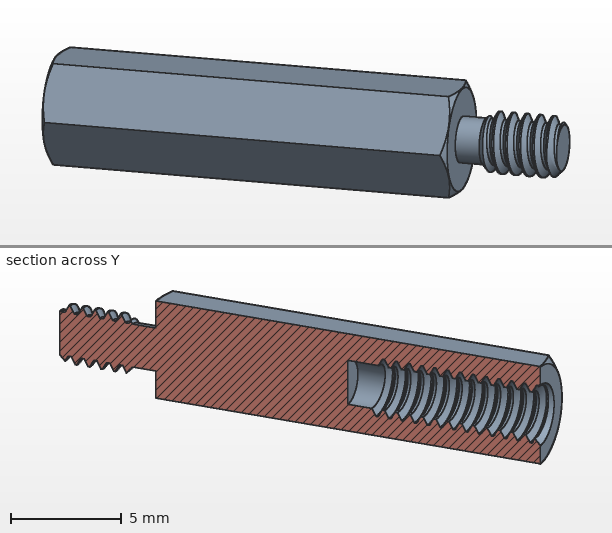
import cadquery as cq
import math

total_length = 23.8
body_length = 19.05
across_flats = 4.76
across_corners = across_flats / math.cos(math.radians(30))

end_face_radius = 2.35
corner_chamfer_angle = 30.0

thread_diameter = 2.83
pitches_per_stud = 7.5
pitch = (total_length - body_length) / pitches_per_stud
crest_width = pitch / 8
thread_depth = 0.35
flank_slope = math.tan(math.radians(30))
thread_overlap = 0.05

outer_radius = thread_diameter / 2
root_radius = outer_radius - thread_depth
neck_length = 1.12
first_crest_x = 19.98

hole_depth = 9.52
tapped_depth = 8.33
mouth_radius = 1.48
mouth_depth = mouth_radius - root_radius


def revolved(profile):
    """Solid of revolution about X from (x, radius) points."""
    return cq.Workplane("XY").polyline(profile).close().revolve(360, (0, 0, 0), (1, 0, 0))


def helix_on_cylinder(start_x, radius, length):
    """Right-handed helix along +X that starts on the +Y side."""
    helix = cq.Wire.makeHelix(pitch, length, radius)
    helix = helix.rotate(cq.Vector(0, 0, 0), cq.Vector(0, 1, 0), 90)
    helix = helix.rotate(cq.Vector(0, 0, 0), cq.Vector(1, 0, 0), 90)
    return helix.translate(cq.Vector(start_x, 0, 0))


def helical_thread(start_x, length):
    """Trapezoidal ridge bounded by ruled faces between four helices."""
    inner_radius = root_radius - thread_overlap
    crest_half = crest_width / 2
    base_half = crest_half + (outer_radius - inner_radius) * flank_slope
    corners = [
        (-base_half, inner_radius),
        (-crest_half, outer_radius),
        (crest_half, outer_radius),
        (base_half, inner_radius),
    ]
    helices = [helix_on_cylinder(start_x + offset, radius, length) for offset, radius in corners]
    faces = []
    for index, helix in enumerate(helices):
        faces.extend(cq.Face.makeRuledSurface(helices[index - 1], helix).Faces())
    for position in (0, 1):
        points = [helix.positionAt(position) for helix in helices]
        faces.append(cq.Face.makeFromWires(cq.Wire.makePolygon(points, close=True)))
    return cq.Workplane(cq.Solid.makeSolid(cq.Shell.makeShell(faces)).fix())


def hexagonal_body():
    body = cq.Workplane("YZ").polygon(6, across_corners).extrude(body_length)
    corner_radius = across_corners / 2
    chamfer_length = (corner_radius - end_face_radius) * math.tan(math.radians(corner_chamfer_angle))
    envelope = revolved([
        (0, 0),
        (0, end_face_radius),
        (chamfer_length, corner_radius),
        (body_length - chamfer_length, corner_radius),
        (body_length, end_face_radius),
        (body_length, 0),
    ])
    return body.intersect(envelope)


def stud():
    core_start = body_length - thread_depth
    core_length = total_length - core_start
    core = cq.Workplane("YZ", origin=(core_start, 0, 0)).circle(root_radius).extrude(core_length)
    thread_start = body_length + neck_length
    bevel_run = (total_length - thread_start) / 2
    envelope = revolved([
        (thread_start, 0),
        (thread_start, root_radius),
        (thread_start + bevel_run, root_radius + bevel_run),
        (total_length, root_radius),
        (total_length, 0),
    ])
    ridge = helical_thread(first_crest_x, total_length + pitch - first_crest_x).intersect(envelope)
    return core.union(ridge)


def tapped_hole_in(body):
    bore = cq.Workplane("YZ").circle(root_radius).extrude(hole_depth)
    mouth = revolved([(0, 0), (0, mouth_radius), (mouth_depth, root_radius), (mouth_depth, 0)])
    groove = helical_thread(-pitch, tapped_depth + pitch)
    return body.cut(bore).cut(mouth).cut(groove)


result = tapped_hole_in(hexagonal_body()).union(stud())